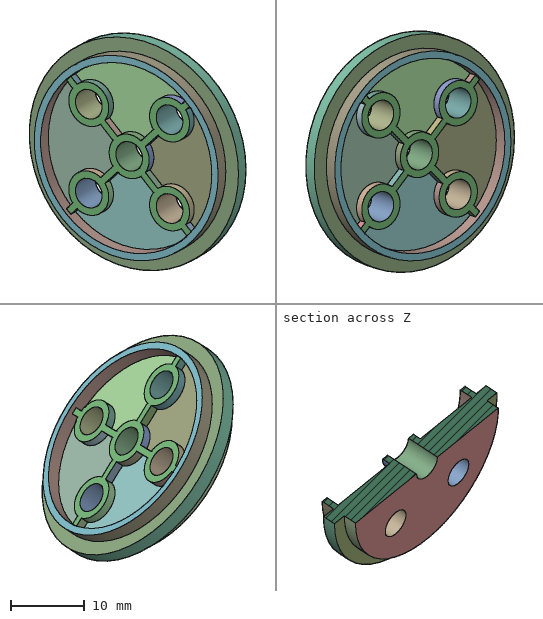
import cadquery as cq

flange_diameter = 33.0
drum_diameter = 29.0
pocket_diameter = 27.0
total_width = 6.1
flange_width = total_width / 3
pocket_depth = 2.05

hole_diameter = 4.2
boss_diameter = 6.3
hole_offset = 6.37
relief_height = 1.25

rib_width = 1.0

front_y = -total_width / 2
floor_y = front_y + pocket_depth
outer_hole_centers = [(x, z) for x in (-hole_offset, hole_offset) for z in (-hole_offset, hole_offset)]
hole_centers = [(0, 0)] + outer_hole_centers


def disc(diameter, start_y, length, centers=((0, 0),)):
    """Cylinders along +Y from start_y, centred at the given (x, z) points."""
    plane = cq.Workplane("XZ", origin=(0, start_y, 0))
    return plane.pushPoints(centers).circle(diameter / 2).extrude(-length)


def diagonal_rib(angle):
    """Rib across the whole pocket, with both ends buried in the drum wall."""
    length = (pocket_diameter + drum_diameter) / 2
    rib = cq.Workplane("XY").box(length, relief_height, rib_width)
    rib = rib.translate((0, floor_y - relief_height / 2, 0))
    return rib.rotate((0, 0, 0), (0, 1, 0), angle)


body = disc(drum_diameter, front_y, total_width)
body = body.union(disc(flange_diameter, -flange_width / 2, flange_width))
body = body.cut(disc(pocket_diameter, front_y, pocket_depth))

for angle in (45, -45):
    body = body.union(diagonal_rib(angle))
body = body.union(disc(boss_diameter, floor_y - relief_height, relief_height, hole_centers))

result = body.cut(disc(hole_diameter, front_y, total_width, hole_centers))